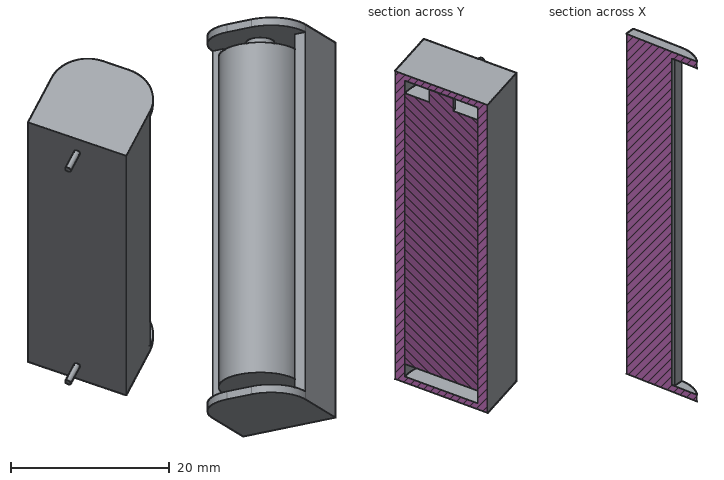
import cadquery as cq

length = 50.5
width = 13.5
depth = 12.55
corner_radius = 4.95
wall_depth = depth - corner_radius
plate_thickness = 1.05

pin_diameter = 0.8
pin_length = 2.95
pin_inset = 2.85

cell_radius = 5.25
cell_back_inset = 0.05
cell_end_gap = 3.05
cell_length = length - 2 * cell_end_gap
cell_y = depth - cell_back_inset - cell_radius
terminal_radius = 1.75
terminal_length = cell_end_gap - plate_thickness


def make_trough():
    """Round-bottomed opening between the end plates, as wide as the cell."""
    trough_length = length - 2 * plate_thickness
    round_bottom = (
        cq.Workplane("XY", origin=(0, cell_y, plate_thickness))
        .circle(cell_radius)
        .extrude(trough_length)
    )
    open_side = (
        cq.Workplane("XY", origin=(0, cell_y, plate_thickness))
        .box(2 * cell_radius, depth - cell_y, trough_length, centered=(True, False, False))
    )
    return round_bottom.union(open_side)


def make_pin(z):
    """Solder pin standing out of the -Y face at height z."""
    return (
        cq.Workplane("XZ", origin=(0, 0, z))
        .circle(pin_diameter / 2)
        .extrude(pin_length)
    )


def make_holder():
    """Block with rounded end plates, low side walls, cell trough and two pins."""
    body = (
        cq.Workplane("XY")
        .box(width, depth, length, centered=(True, False, False))
        .edges("|Z and >Y")
        .fillet(corner_radius)
    )
    above_walls = (
        cq.Workplane("XY", origin=(0, wall_depth, plate_thickness))
        .box(width, corner_radius, length - 2 * plate_thickness, centered=(True, False, False))
    )
    body = body.cut(above_walls).cut(make_trough())
    for z in (pin_inset, length - pin_inset):
        body = body.union(make_pin(z))
    return body


def make_cell():
    """Cell with a terminal that reaches the top end plate."""
    can = cq.Workplane("XY", origin=(0, cell_y, cell_end_gap)).circle(cell_radius).extrude(cell_length)
    return can.faces(">Z").workplane().circle(terminal_radius).extrude(terminal_length)


holder = make_holder()
cell = make_cell()
result = cq.Compound.makeCompound([holder.val(), cell.val()])